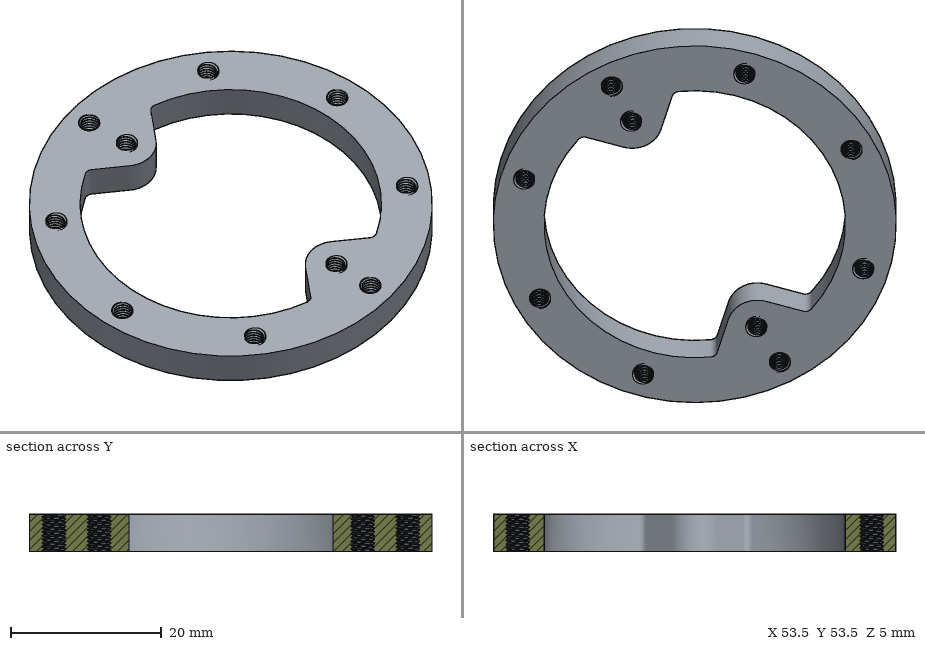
import cadquery as cq
import math

outer_radius = 53.5 / 2
bore_radius = 20.0
thickness = 5.0

lug_center_radius = 17.5
lug_tip_radius = 4.0
corner_fillet_radius = 1.0

bolt_circle_radius = 23.5
bolt_count = 8
minor_radius = 2.5 / 2
major_radius = 3.1 / 2
thread_pitch = 0.5
thread_flank_angle = 30
groove_mouth_width = 0.75 * thread_pitch
bore_overlap = 0.05
run_out = thread_pitch


def make_ring():
    return cq.Workplane("XY").circle(outer_radius).circle(bore_radius).extrude(thickness)


def make_lug():
    """Lug on the +X side: a tip arc and two sides tangent to it, with its root inside the ring."""
    tangent_offset = lug_tip_radius * math.sqrt(0.5)
    tangent_x = lug_center_radius - tangent_offset
    root_x = (bore_radius + outer_radius) / 2
    root_y = tangent_offset + root_x - tangent_x
    return (
        cq.Workplane("XY")
        .moveTo(root_x, root_y)
        .lineTo(tangent_x, tangent_offset)
        .threePointArc((lug_center_radius - lug_tip_radius, 0), (tangent_x, -tangent_offset))
        .lineTo(root_x, -root_y)
        .close()
        .extrude(thickness)
    )


def make_body():
    """Ring with both lugs, rounded in the corners where the lug sides meet the bore."""
    lug = make_lug()
    opposite_lug = lug.rotate((0, 0, 0), (0, 0, 1), 180)
    body = make_ring().union(lug).union(opposite_lug)

    side_line_x = lug_center_radius - lug_tip_radius * math.sqrt(2)
    corner_y = (math.sqrt(2 * bore_radius**2 - side_line_x**2) - side_line_x) / 2
    corner_x = side_line_x + corner_y
    for x in (-corner_x, corner_x):
        for y in (-corner_y, corner_y):
            corner_edge = cq.selectors.NearestToPointSelector((x, y, thickness / 2))
            body = body.edges("|Z").edges(corner_edge).fillet(corner_fillet_radius)
    return body


def make_thread_cutter():
    """Minor bore plus a helical groove that crosses the top face on the +X side."""
    flank_slope = math.tan(math.radians(thread_flank_angle))
    half_mouth = groove_mouth_width / 2
    half_inner = half_mouth + bore_overlap * flank_slope
    half_root = half_mouth - (major_radius - minor_radius) * flank_slope
    inner_radius = minor_radius - bore_overlap

    helix_height = thickness + 2 * run_out
    helix = cq.Wire.makeHelix(thread_pitch, helix_height, minor_radius)
    groove_section = [
        (inner_radius, -half_inner),
        (major_radius, -half_root),
        (major_radius, half_root),
        (inner_radius, half_inner),
    ]
    groove = cq.Workplane("XZ").polyline(groove_section).close().sweep(helix, isFrenet=True)

    angle_at_top_face = 360 * (thickness + run_out) / thread_pitch
    groove = groove.rotate((0, 0, 0), (0, 0, 1), -angle_at_top_face)
    bore = (
        cq.Workplane("XY")
        .workplane(offset=-2 * run_out)
        .circle(minor_radius)
        .extrude(helix_height + 2 * run_out)
    )
    return bore.union(groove.translate((0, 0, -run_out)))


def cut_threaded_hole(body, cutter, x, y, thread_angle):
    """Cut one hole at (x, y); its thread leaves the top face at thread_angle degrees from +X."""
    return body.cut(cutter.rotate((0, 0, 0), (0, 0, 1), thread_angle).translate((x, y, 0)))


result = make_body()
thread_cutter = make_thread_cutter()

for index in range(bolt_count):
    angle = 2 * math.pi * index / bolt_count
    x = bolt_circle_radius * math.cos(angle)
    y = bolt_circle_radius * math.sin(angle)
    thread_angle = -90 if index % 2 == 0 else 90
    result = cut_threaded_hole(result, thread_cutter, x, y, thread_angle)

for x in (-lug_center_radius, lug_center_radius):
    result = cut_threaded_hole(result, thread_cutter, x, 0, 90)